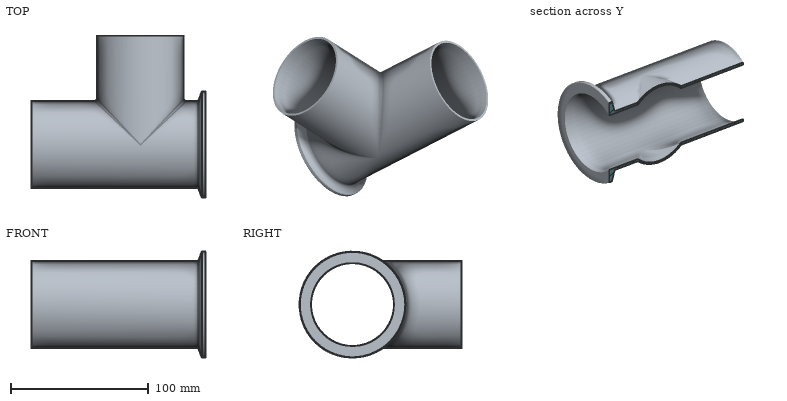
import cadquery as cq
import math

tube_od = 63.5
tube_id = 60.2
run_length = 127.0
branch_x = 79.4
branch_reach = 79.4
crotch_radius = 1.5

flange_od = 77.3
rim_width = 3.0
rim_chamfer = 0.4
cone_angle = 20.0
neck_radius = 1.3

tube_radius = tube_od / 2
flange_radius = flange_od / 2


def run_cylinder(diameter, start_x, end_x):
    """Cylinder on the X axis between two X positions."""
    return cq.Workplane("YZ", origin=(start_x, 0, 0)).circle(diameter / 2).extrude(end_x - start_x)


def branch_cylinder(diameter):
    """Cylinder from the run axis out to the open branch end at +Y."""
    return cq.Workplane("XZ", origin=(branch_x, 0, 0)).circle(diameter / 2).extrude(-branch_reach)


def crotch_half():
    """+X half of the tee body with its mitre edge rounded.

    Run and branch have equal diameters, so the mitre edge fades out where the tubes are
    tangent, on the plane x = branch_x. Splitting there lets each half be filleted cleanly.
    """
    run = run_cylinder(tube_od, branch_x, run_length)
    branch = branch_cylinder(tube_od)
    half_space = cq.Workplane(origin=(branch_x, 0, 0)).box(
        tube_od, 2 * branch_reach + tube_od, 2 * tube_od, centered=(False, True, True)
    )
    half = run.union(branch.intersect(half_space))
    mitre_edges = half.edges("%ELLIPSE")
    return mitre_edges.fillet(crotch_radius)


def tee_body():
    right_half = crotch_half()
    left_half = right_half.mirror("YZ", (branch_x, 0, 0))
    run = run_cylinder(tube_od, 0, branch_x)
    return run.union(left_half).union(right_half)


def clamp_flange():
    """Conical-backed flange, revolved about the X axis, with a round neck into the tube."""
    rim_back_x = run_length - rim_width
    cone_height = flange_radius - rim_chamfer - tube_radius
    cone_foot_x = rim_back_x - cone_height * math.tan(math.radians(cone_angle))
    turn = math.radians(90 - cone_angle)
    tangent_length = neck_radius * math.tan(turn / 2)
    neck_start_x = cone_foot_x - tangent_length
    neck_end = (
        cone_foot_x + tangent_length * math.cos(turn),
        tube_radius + tangent_length * math.sin(turn),
    )
    neck_middle = (
        neck_start_x + neck_radius * math.sin(turn / 2),
        tube_radius + neck_radius * (1 - math.cos(turn / 2)),
    )
    return (
        cq.Workplane("XY")
        .moveTo(neck_start_x, 0)
        .lineTo(neck_start_x, tube_radius)
        .threePointArc(neck_middle, neck_end)
        .lineTo(rim_back_x, flange_radius - rim_chamfer)
        .lineTo(rim_back_x + rim_chamfer, flange_radius)
        .lineTo(run_length - rim_chamfer, flange_radius)
        .lineTo(run_length, flange_radius - rim_chamfer)
        .lineTo(run_length, 0)
        .close()
        .revolve(360, (0, 0, 0), (1, 0, 0))
    )


bores = run_cylinder(tube_id, 0, run_length).union(branch_cylinder(tube_id))
result = tee_body().union(clamp_flange()).cut(bores)